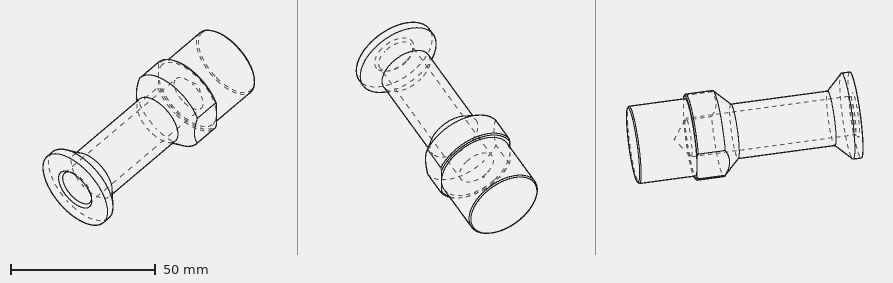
import cadquery as cq
import math

total_length = 78.0
flange_thickness = 2.9
cone_length = 5.6
rear_cone_end = 48.05
collar_end = 57.95

flange_diameter = 30.0
tube_diameter = 19.0
rear_diameter = 27.0
bore_diameter = 13.4
bore_mouth_diameter = 15.45

edge_chamfer = 0.5
across_flats = rear_diameter
bore_depth = 58.5
drill_point_angle = 106.0

flange_radius = flange_diameter / 2
tube_radius = tube_diameter / 2
rear_radius = rear_diameter / 2
bore_radius = bore_diameter / 2
mouth_radius = bore_mouth_diameter / 2

flange_cone_end = flange_thickness + cone_length
rear_cone_start = rear_cone_end - cone_length


def revolve_profile(points):
    """Revolve a closed (radius, y) outline about the Y axis."""
    return cq.Workplane("XY").polyline(points).close().revolve(360, (0, 0, 0), (0, 1, 0))


def make_body():
    """Flange, tube, collar and plain rear cylinder."""
    return revolve_profile([
        (0, 0),
        (flange_radius, 0),
        (flange_radius, flange_thickness),
        (tube_radius, flange_cone_end),
        (tube_radius, rear_cone_start),
        (flange_radius, rear_cone_end),
        (flange_radius, collar_end - edge_chamfer),
        (flange_radius - edge_chamfer, collar_end),
        (rear_radius, collar_end),
        (rear_radius, total_length - edge_chamfer),
        (rear_radius - edge_chamfer, total_length),
        (0, total_length),
    ])


def make_bore():
    """Blind drilled hole with a 45 degree countersunk mouth."""
    mouth_depth = mouth_radius - bore_radius
    point_length = bore_radius / math.tan(math.radians(drill_point_angle / 2))
    return revolve_profile([
        (0, 0),
        (mouth_radius, 0),
        (bore_radius, mouth_depth),
        (bore_radius, bore_depth),
        (0, bore_depth + point_length),
    ])


def make_flat_cutter(side):
    """Block that leaves a wrench flat on the collar at the given X side (+1 or -1)."""
    block_depth = flange_diameter
    block_length = collar_end - rear_cone_start
    return cq.Workplane("XY").box(block_depth, block_length, flange_diameter).translate(
        (side * (across_flats + block_depth) / 2, (rear_cone_start + collar_end) / 2, 0)
    )


result = make_body().cut(make_bore())
for side in (-1, 1):
    result = result.cut(make_flat_cutter(side))